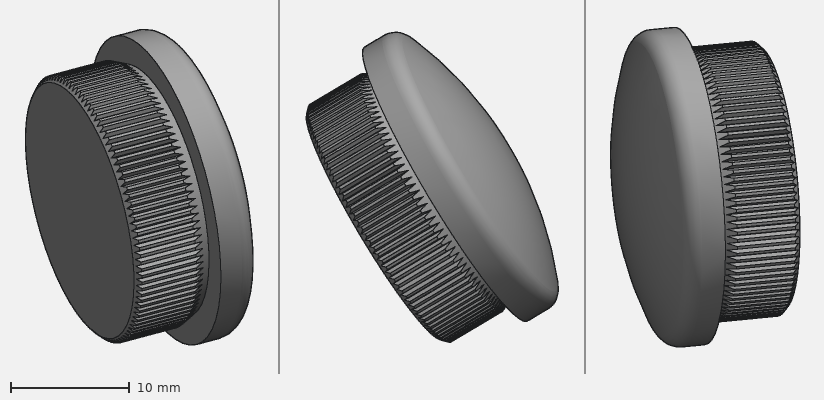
import cadquery as cq
import math


head_radius = 13.45
rim_height = 2.0
head_height = 6.0
shoulder_radius = 1.53

insert_length = 7.0
insert_radius = 11.65
end_chamfer = 0.5
neck_radius = 11.0
neck_length = 1.45

groove_count = 110
groove_depth = 0.35
groove_angle = 60.0
groove_overshoot = 0.08


def make_blank():
    """Revolve the cap's half section, without the knurl, about the Y axis."""
    shoulder_center = head_radius - shoulder_radius
    crown_rise = head_height - rim_height
    tangency_term = shoulder_center**2 + crown_rise**2 - shoulder_radius**2
    dome_radius = tangency_term / (2 * (crown_rise - shoulder_radius))
    dome_center = head_height - dome_radius
    dome_half_angle = math.asin(shoulder_center / (dome_radius - shoulder_radius))

    def shoulder_point(angle):
        return (
            rim_height + shoulder_radius * math.cos(angle),
            shoulder_center + shoulder_radius * math.sin(angle),
        )

    def dome_point(angle):
        return (dome_center + dome_radius * math.cos(angle), dome_radius * math.sin(angle))

    shoulder_mid_angle = (dome_half_angle + math.pi / 2) / 2
    return (
        cq.Workplane("YZ")
        .moveTo(-insert_length, 0)
        .lineTo(-insert_length, insert_radius - end_chamfer)
        .lineTo(-insert_length + end_chamfer, insert_radius)
        .lineTo(-neck_length, insert_radius)
        .lineTo(0, neck_radius)
        .lineTo(0, head_radius)
        .lineTo(rim_height, head_radius)
        .threePointArc(shoulder_point(shoulder_mid_angle), shoulder_point(dome_half_angle))
        .threePointArc(dome_point(dome_half_angle / 2), (head_height, 0))
        .close()
        .revolve(360, (0, 0), (1, 0))
    )


def make_groove_cutters():
    """V prisms around the insert, the first one at +Z; they run out on the neck and the chamfer."""
    root_radius = insert_radius - groove_depth
    outer_radius = insert_radius + groove_overshoot
    half_width = (outer_radius - root_radius) * math.tan(math.radians(groove_angle / 2))
    cutter = (
        cq.Workplane("XZ")
        .polyline([(0, root_radius), (half_width, outer_radius), (-half_width, outer_radius)])
        .close()
        .extrude(insert_length)
        .val()
    )
    axis_start = cq.Vector(0, 0, 0)
    axis_end = cq.Vector(0, 1, 0)
    pitch_angle = 360 / groove_count
    return cq.Compound.makeCompound(
        [cutter.rotate(axis_start, axis_end, i * pitch_angle) for i in range(groove_count)]
    )


result = make_blank().cut(cq.Workplane(make_groove_cutters())).solids()